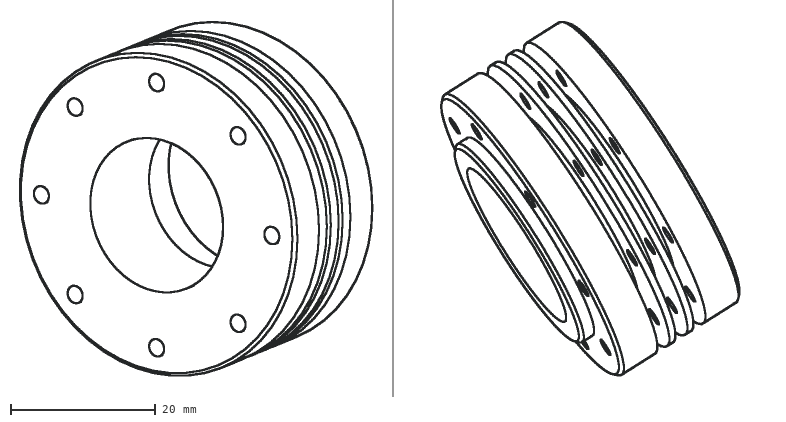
import cadquery as cq

outer_diameter = 46.0
core_diameter = 30.0
boss_diameter = 32.5
boss_height = 2.2
bore_diameter = 22.0
counterbore_diameter = 25.1
counterbore_depth = 7.3
flange_thickness = 6.0
groove_width = 2.0
fin_thickness = 1.0
fin_count = 2
total_length = 22.25
edge_chamfer = 0.5
hole_diameter = 2.5
hole_circle_diameter = 38.2
hole_count = 8

fin_pitch = groove_width + fin_thickness
rear_flange_start = flange_thickness + fin_count * fin_pitch + groove_width
boss_start = total_length - boss_height


def disc(diameter, start, end):
    """Solid disc about the Y axis, spanning start to end along Y."""
    plane = cq.Workplane("XZ", origin=(0, start, 0))
    return plane.circle(diameter / 2).extrude(start - end)


body = disc(core_diameter, 0, boss_start)
front_flange = disc(outer_diameter, 0, flange_thickness)
body = body.union(front_flange.faces("<Y").chamfer(edge_chamfer))
rear_flange = disc(outer_diameter, rear_flange_start, boss_start)
body = body.union(rear_flange.faces(">Y").chamfer(edge_chamfer))
for index in range(fin_count):
    fin_start = flange_thickness + groove_width + index * fin_pitch
    body = body.union(disc(outer_diameter, fin_start, fin_start + fin_thickness))

boss = disc(boss_diameter, boss_start, total_length)
body = body.union(boss.faces(">Y").chamfer(edge_chamfer))

body = body.cut(disc(bore_diameter, 0, total_length))

counterbore_floor = total_length - counterbore_depth
body = body.cut(disc(counterbore_diameter, counterbore_floor, total_length))

holes = (
    cq.Workplane("XZ")
    .polarArray(hole_circle_diameter / 2, 0, 360, hole_count)
    .circle(hole_diameter / 2)
    .extrude(-total_length)
)
result = body.cut(holes)